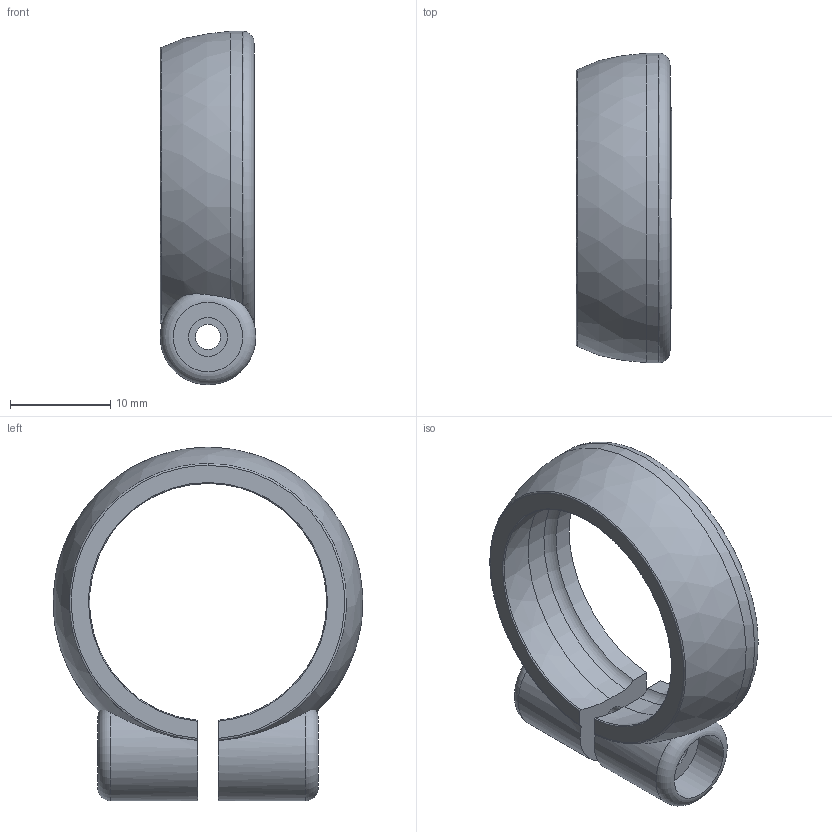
import cadquery as cq
import math

ring_radius = 15.43
ring_width = 9.35
dome_center_x = 7.0
back_fillet = 1.15
front_edge_fillet = 0.2

groove_radius = 12.5
bore_dome_center_x = 4.2
groove_end_x = 6.4
lip_start_x = 7.5
lip_radius = 11.9
mouth_fillet = 0.1

boss_radius = 4.76
boss_length = 22.0
boss_center_x = 4.76
boss_center_z = -15.04
boss_end_fillet = 1.3
slit_width = 2.0

head_radius = boss_radius - boss_end_fillet
head_depth = 3.5
clearance_radius = 1.95
thread_radius = 1.25

cut_margin = 1.0


def sphere_height(radius, center_x, x):
    """Distance from the X axis to a sphere centered on that axis."""
    return math.sqrt(radius ** 2 - (x - center_x) ** 2)


def revolve_about_x(profile):
    return profile.close().revolve(360, (0, 0, 0), (1, 0, 0))


def make_ring(bore_cutter):
    front_radius = sphere_height(ring_radius, dome_center_x, 0)
    mid_x = dome_center_x / 2
    profile = (
        cq.Workplane("XZ")
        .lineTo(0, front_radius)
        .threePointArc(
            (mid_x, sphere_height(ring_radius, dome_center_x, mid_x)),
            (dome_center_x, ring_radius),
        )
        .lineTo(ring_width - back_fillet, ring_radius)
        .tangentArcPoint((ring_width, ring_radius - back_fillet), relative=False)
        .lineTo(ring_width, 0)
    )
    ring = revolve_about_x(profile).cut(bore_cutter)
    ring = ring.faces("<X").edges(cq.selectors.RadiusNthSelector(-1)).fillet(front_edge_fillet)
    return ring.faces("<X").edges(cq.selectors.RadiusNthSelector(0)).fillet(mouth_fillet)


def make_bore_cutter():
    mouth_radius = sphere_height(groove_radius, bore_dome_center_x, 0)
    mid_x = bore_dome_center_x / 2
    end_x = ring_width + cut_margin
    profile = (
        cq.Workplane("XZ")
        .moveTo(-cut_margin, 0)
        .lineTo(-cut_margin, mouth_radius)
        .lineTo(0, mouth_radius)
        .threePointArc(
            (mid_x, sphere_height(groove_radius, bore_dome_center_x, mid_x)),
            (bore_dome_center_x, groove_radius),
        )
        .lineTo(groove_end_x, groove_radius)
        .tangentArcPoint((lip_start_x, lip_radius), relative=False)
        .lineTo(end_x, lip_radius)
        .lineTo(end_x, 0)
    )
    return revolve_about_x(profile)


def boss_cylinder(radius, start_y, end_y):
    """Cylinder on the boss axis between two Y positions."""
    return (
        cq.Workplane("XZ", origin=(boss_center_x, start_y, boss_center_z))
        .circle(radius)
        .extrude(start_y - end_y)
    )


def make_boss():
    boss = boss_cylinder(boss_radius, -boss_length / 2, boss_length / 2)
    return boss.edges("%CIRCLE").fillet(boss_end_fillet)


def make_screw_cutter():
    near_end = -boss_length / 2
    far_end = boss_length / 2
    head = boss_cylinder(head_radius, near_end - cut_margin, near_end + head_depth)
    clearance = boss_cylinder(clearance_radius, near_end, 0)
    thread = boss_cylinder(thread_radius, near_end, far_end + cut_margin)
    return head.union(clearance).union(thread)


def make_slit_cutter():
    slit_depth = boss_radius - boss_center_z + cut_margin
    return (
        cq.Workplane("XY")
        .center(boss_center_x, 0)
        .rect(2 * (boss_radius + cut_margin), slit_width)
        .extrude(-slit_depth)
    )


bore_cutter = make_bore_cutter()
result = (
    make_ring(bore_cutter)
    .union(make_boss().cut(bore_cutter))
    .cut(make_screw_cutter())
    .cut(make_slit_cutter())
)